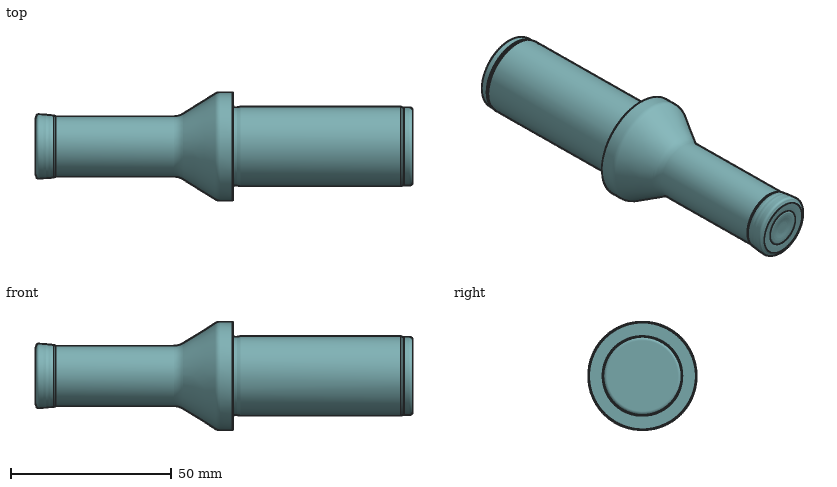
import cadquery as cq
import math

total_length = 118.0
head_length = 6.5

head_radius = 10.1
rim_length = 1.2
land_end = 2.7
band_width = 0.7
step_count = 2
step_drop = 0.14
last_band_length = 0.4

FACE_RINGS = [
    (1.3, 0.31),
    (2.1, 0.28),
    (2.7, 0.21),
    (3.5, 0.08),
    (4.4, 0.0),
    (5.2, 0.0),
    (5.8, 0.18),
    (6.3, 0.1),
    (6.8, 0.07),
    (7.7, 0.04),
    (8.6, 0.0),
    (9.4, 0.4),
]
corner_inset = 0.2

body_radius = 19.0 / 2
flare_start = 43.4
flare_angle = math.radians(32)
flare_blend = 2.8
flange_radius = 34.0 / 2
flange_blend = 1.4
flange_end = 62.0
flange_chamfer = 0.4

shank_radius = 25.0 / 2
neck_radius = 24.5 / 2
neck_fillet = 0.4
neck_end = 63.0
shank_start = 64.2
shank_end = 114.2
relief_radius = 12.2
relief_start = 114.9
relief_end = 115.3
end_fillet = 1.2


def revolve_about_x(profile):
    """Turn a closed (axial, radial) profile into a solid of revolution."""
    return profile.close().revolve(360, (0, 0, 0), (1, 0, 0))


def make_head():
    """Cutting head with a ringed face and a stepwise tapered outer surface."""
    center_depth = FACE_RINGS[0][1]
    profile = cq.Workplane("XY").moveTo(center_depth, 0)
    for radius, depth in FACE_RINGS:
        profile = profile.lineTo(depth, radius)

    corner_start = FACE_RINGS[-1][1]
    profile = profile.threePointArc(
        (corner_start + corner_inset, head_radius - corner_inset),
        (rim_length, head_radius),
    )

    axial = land_end
    radius = head_radius - step_drop
    profile = profile.lineTo(axial, radius)
    for _ in range(step_count):
        profile = profile.lineTo(axial + band_width, radius)
        axial += 2 * band_width
        radius -= step_drop
        profile = profile.lineTo(axial, radius)

    profile = profile.lineTo(axial + last_band_length, radius)
    profile = profile.lineTo(head_length, body_radius).lineTo(head_length, 0)
    return revolve_about_x(profile)


def make_shank():
    """Slim body, flared flange and clamping shank in one piece."""
    blend_slope = math.tan(flare_angle / 2)
    cone_start = flare_start + flare_blend
    cone_start_radius = body_radius + flare_blend * blend_slope
    cone_end_radius = flange_radius - flange_blend * blend_slope
    cone_end = cone_start + (cone_end_radius - cone_start_radius) / math.tan(flare_angle)
    flange_start = cone_end + flange_blend

    fillet_mid = 1 - math.sqrt(0.5)
    profile = (
        cq.Workplane("XY")
        .moveTo(head_length, 0)
        .lineTo(head_length, body_radius)
        .lineTo(flare_start, body_radius)
        .tangentArcPoint((cone_start, cone_start_radius), relative=False)
        .lineTo(cone_end, cone_end_radius)
        .tangentArcPoint((flange_start, flange_radius), relative=False)
        .lineTo(flange_end - flange_chamfer, flange_radius)
        .lineTo(flange_end, flange_radius - flange_chamfer)
        .lineTo(flange_end, neck_radius + neck_fillet)
        .threePointArc(
            (flange_end + neck_fillet * fillet_mid, neck_radius + neck_fillet * fillet_mid),
            (flange_end + neck_fillet, neck_radius),
        )
        .lineTo(neck_end, neck_radius)
        .lineTo(shank_start, shank_radius)
        .lineTo(shank_end, shank_radius)
        .lineTo(relief_start, relief_radius)
        .lineTo(relief_end, neck_radius)
        .lineTo(total_length - end_fillet, neck_radius)
        .tangentArcPoint((total_length, neck_radius - end_fillet), relative=False)
        .lineTo(total_length, 0)
    )
    return revolve_about_x(profile)


head = make_head()
shank = make_shank()

result = cq.Compound.makeCompound([head.val(), shank.val()])